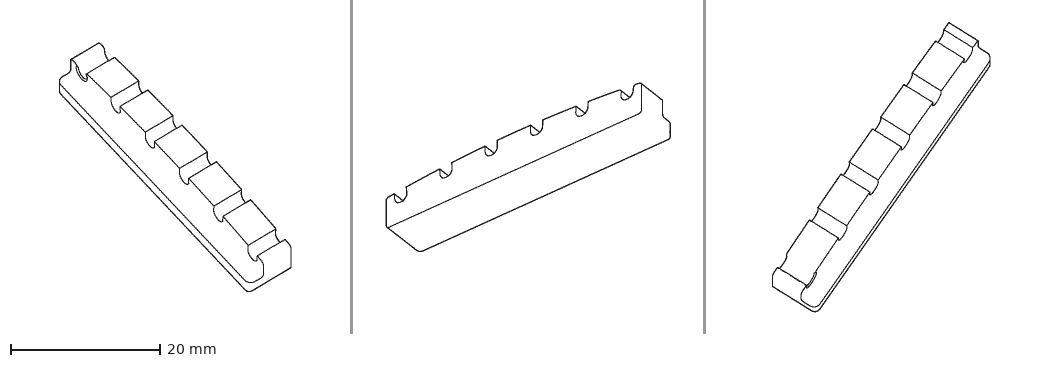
import cadquery as cq
import math

length = 43.0
depth = 7.0
height = 6.3

body_depth = 4.65
ledge_height = 2.05
ledge_fillet = 0.45
crown_radius = 180.6

front_corner_radius = 1.0
end_bottom_fillet = 0.5
end_top_fillet = 0.47

slot_spacing = 7.6
slot_width = 2.0
slot_floor_heights = [3.3, 4.0, 4.25, 4.25, 4.0, 3.3]
first_slot_lip_fillet = 0.47
first_slot_chamfer = 0.2

half_length = length / 2
slot_radius = slot_width / 2
front_y = -depth / 2
back_y = depth / 2
wall_y = back_y - body_depth
crown_center_z = height - crown_radius
crown_end_z = crown_center_z + math.sqrt(crown_radius**2 - half_length**2)


def make_blank():
    """L-shaped block with a crowned top and rounded end edges."""
    crowned = (
        cq.Workplane("XZ", origin=(0, back_y, 0))
        .moveTo(-half_length, 0)
        .lineTo(half_length, 0)
        .lineTo(half_length, crown_end_z)
        .threePointArc((0, height), (-half_length, crown_end_z))
        .close()
        .extrude(depth)
    )
    ledge_cut = cq.Workplane("XY").box(
        length, depth - body_depth, height, centered=(True, False, False)
    ).translate((0, front_y, ledge_height))
    blank = crowned.cut(ledge_cut)

    ledge_corner = cq.selectors.NearestToPointSelector((0, wall_y, ledge_height))
    blank = blank.edges(ledge_corner).fillet(ledge_fillet)
    for end_x in (-half_length, half_length):
        top_edge = cq.selectors.NearestToPointSelector((end_x, (wall_y + back_y) / 2, crown_end_z))
        blank = blank.edges(top_edge).fillet(end_top_fillet)
    blank = blank.intersect(make_plan_envelope())
    return blank.intersect(make_end_envelope())


def make_plan_envelope():
    """Full-height block whose two front vertical corners are rounded."""
    block = cq.Workplane("XY").box(length, depth, height, centered=(True, True, False))
    return block.edges("|Z and <Y").fillet(front_corner_radius)


def make_end_envelope():
    """Full-size block whose bottom edges at the two ends are rounded."""
    block = cq.Workplane("XY").box(length, depth, height, centered=(True, True, False))
    return block.edges("|Y and <Z").fillet(end_bottom_fillet)


def slot_position(index):
    """X and Z of the center of the slot's round floor."""
    x = (index - (len(slot_floor_heights) - 1) / 2) * slot_spacing
    return x, slot_floor_heights[index] + slot_radius


def make_slot(index):
    """Round-bottomed cutter running in Y and open at the top."""
    x, z = slot_position(index)
    lean = math.degrees(math.asin(x / (z - crown_center_z)))
    floor = cq.Workplane("XZ", origin=(0, back_y, 0)).circle(slot_radius).extrude(body_depth)
    opening = cq.Workplane("XY").box(
        slot_width, body_depth, height, centered=(True, False, False)
    ).translate((0, wall_y, 0))
    slot = floor.union(opening)
    return slot.rotate((0, 0, 0), (0, 1, 0), lean).translate((x, 0, z))


def round_first_slot_lips(part):
    """Round the two top edges of the slot nearest the -X end."""
    x, z = slot_position(0)
    lean = math.asin(x / (z - crown_center_z))
    for side in (-slot_radius, slot_radius):
        crown_angle = lean + math.asin(side / crown_radius)
        lip_x = crown_radius * math.sin(crown_angle)
        lip_z = crown_center_z + crown_radius * math.cos(crown_angle)
        lip = cq.selectors.NearestToPointSelector((lip_x, (wall_y + back_y) / 2, lip_z))
        part = part.edges(lip).fillet(first_slot_lip_fillet)
    return part


def make_first_slot_countersink():
    """Conical cutter that bevels the front mouth of the first slot's round floor."""
    x, z = slot_position(0)
    cone = cq.Solid.makeCone(
        slot_radius + first_slot_chamfer,
        slot_radius,
        first_slot_chamfer,
        pnt=cq.Vector(x, wall_y, z),
        dir=cq.Vector(0, 1, 0),
    )
    return cq.Workplane(obj=cone)


result = make_blank()
for slot_index in range(len(slot_floor_heights)):
    result = result.cut(make_slot(slot_index))
result = round_first_slot_lips(result)
result = result.cut(make_first_slot_countersink())